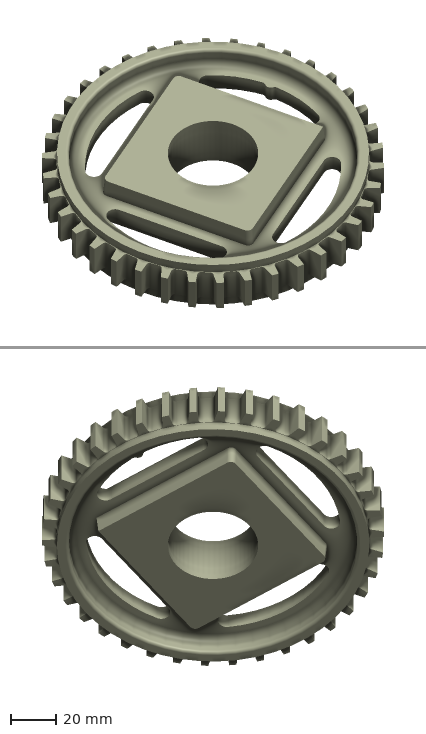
import cadquery as cq
import math

WHEEL_WIDTH = 25.0
MID_Z = WHEEL_WIDTH / 2
BORE_RADIUS = 20.0

PICK_MARGIN = 0.2

RIM_RADIUS = 69.2
RIM_MOUTH_RADIUS = 65.5
RIM_ROUNDING = 1.5
RIM_WALL_RADIUS = RIM_MOUTH_RADIUS - RIM_ROUNDING
WEB_FILLET = 3.2
WEB_THICKNESS = 7.7
RECESS_DEPTH = (WHEEL_WIDTH - WEB_THICKNESS) / 2
WEB_TOP_Z = MID_Z + WEB_THICKNESS / 2

TOOTH_COUNT = 38
TIP_RADIUS = 75.9
ROOT_RADIUS = 69.4
TOOTH_WIDTH = 16.0
TOOTH_BOTTOM_Z = MID_Z - TOOTH_WIDTH / 2
STEEP_FLANK_TIP = 2.1
STEEP_FLANK_ROOT = 2.3
SLOPED_FLANK_TIP = 1.0
SLOPED_FLANK_ROOT = 3.0
TOOTH_EMBED = 1.5
ROOT_FILLET = 1.5

HUB_FACE_WIDTH = 72.9
HUB_DRAFT_ANGLE = 4.0
HUB_CORNER_RADIUS = 2.7
HUB_BASE_WIDTH = HUB_FACE_WIDTH + 2 * RECESS_DEPTH * math.tan(math.radians(HUB_DRAFT_ANGLE))

SLOT_COUNT = 4
SLOT_INNER_DISTANCE = 42.4
SLOT_OUTER_RADIUS = 56.8
SLOT_END_RADIUS = 4.0

MARK_TIP_DISTANCE = 55.1
MARK_TIP_RADIUS = 2.5
MARK_BASE_FILLET = 2.3
MARK_APEX_Y = MARK_TIP_DISTANCE - MARK_TIP_RADIUS * (math.sqrt(2) - 1)
MARK_EMBED = 0.8


def make_toothed_ring():
    """Disc with filleted asymmetric teeth, one tooth pointing along +Y."""
    root_x = ROOT_RADIUS - TOOTH_EMBED
    tooth = (
        cq.Workplane("XY")
        .moveTo(root_x, STEEP_FLANK_ROOT)
        .lineTo(math.sqrt(TIP_RADIUS**2 - STEEP_FLANK_TIP**2), STEEP_FLANK_TIP)
        .threePointArc(
            (TIP_RADIUS, 0),
            (math.sqrt(TIP_RADIUS**2 - SLOPED_FLANK_TIP**2), -SLOPED_FLANK_TIP),
        )
        .lineTo(root_x, -SLOPED_FLANK_ROOT)
        .close()
        .extrude(TOOTH_WIDTH)
    )
    ring = cq.Workplane("XY").circle(ROOT_RADIUS).extrude(TOOTH_WIDTH)
    pitch_angle = 360 / TOOTH_COUNT
    for index in range(TOOTH_COUNT):
        ring = ring.union(tooth.rotate((0, 0, 0), (0, 0, 1), index * pitch_angle))

    def is_root_edge(edge):
        centre = edge.Center()
        return math.hypot(centre.x, centre.y) < ROOT_RADIUS + PICK_MARGIN

    ring = ring.edges("|Z").filter(is_root_edge).fillet(ROOT_FILLET)
    return ring.rotate((0, 0, 0), (0, 0, 1), 90).translate((0, 0, TOOTH_BOTTOM_Z))


def make_recess():
    """Turned recess above the web, with a rounded mouth and a filleted floor corner."""
    floor_radius = RIM_WALL_RADIUS - WEB_FILLET
    floor_arc_offset = WEB_FILLET * math.sqrt(0.5)
    mouth_arc_offset = RIM_ROUNDING * math.sqrt(0.5)
    fillet_centre_z = WEB_TOP_Z + WEB_FILLET
    return (
        cq.Workplane("XZ")
        .moveTo(0, WEB_TOP_Z)
        .lineTo(floor_radius, WEB_TOP_Z)
        .threePointArc(
            (floor_radius + floor_arc_offset, fillet_centre_z - floor_arc_offset),
            (RIM_WALL_RADIUS, fillet_centre_z),
        )
        .lineTo(RIM_WALL_RADIUS, WHEEL_WIDTH - RIM_ROUNDING)
        .threePointArc(
            (RIM_MOUTH_RADIUS - mouth_arc_offset, WHEEL_WIDTH - RIM_ROUNDING + mouth_arc_offset),
            (RIM_MOUTH_RADIUS, WHEEL_WIDTH),
        )
        .lineTo(0, WHEEL_WIDTH)
        .close()
        .revolve(360, (0, 0, 0), (0, 1, 0))
    )


def make_hub_block():
    """Drafted square block on the web; its +X +Y corner stays sharp."""
    block = (
        cq.Workplane("XY", origin=(0, 0, WEB_TOP_Z))
        .rect(HUB_BASE_WIDTH, HUB_BASE_WIDTH)
        .extrude(RECESS_DEPTH, taper=HUB_DRAFT_ANGLE)
    )

    def is_rounded_corner(edge):
        centre = edge.Center()
        is_upright = abs(centre.z - WEB_TOP_Z - RECESS_DEPTH / 2) < PICK_MARGIN
        return is_upright and min(centre.x, centre.y) < 0

    return block.edges().filter(is_rounded_corner).fillet(HUB_CORNER_RADIUS)


def make_slot():
    """Slot on the +Y side: flat inside, arc outside, round ends tangent to both."""
    end_y = SLOT_INNER_DISTANCE + SLOT_END_RADIUS
    end_distance = SLOT_OUTER_RADIUS - SLOT_END_RADIUS
    end_x = math.sqrt(end_distance**2 - end_y**2)
    tangent_scale = SLOT_OUTER_RADIUS / end_distance
    tangent_x = end_x * tangent_scale
    tangent_y = end_y * tangent_scale
    return (
        cq.Workplane("XY")
        .moveTo(-end_x, SLOT_INNER_DISTANCE)
        .lineTo(end_x, SLOT_INNER_DISTANCE)
        .threePointArc((end_x + SLOT_END_RADIUS, end_y), (tangent_x, tangent_y))
        .threePointArc((0, SLOT_OUTER_RADIUS), (-tangent_x, tangent_y))
        .threePointArc((-end_x - SLOT_END_RADIUS, end_y), (-end_x, SLOT_INNER_DISTANCE))
        .close()
        .extrude(WHEEL_WIDTH)
    )


def add_timing_mark(body):
    """Right-angled wedge as thick as the web, with a rounded tip and filleted base."""
    back_y = SLOT_OUTER_RADIUS + MARK_EMBED
    half_width = back_y - MARK_APEX_Y
    mark = (
        cq.Workplane("XY", origin=(0, 0, MID_Z - WEB_THICKNESS / 2))
        .moveTo(0, MARK_APEX_Y)
        .lineTo(half_width, back_y)
        .lineTo(-half_width, back_y)
        .close()
        .extrude(WEB_THICKNESS)
        .edges("|Z and <Y")
        .fillet(MARK_TIP_RADIUS)
    )

    def is_base_edge(edge):
        centre = edge.Center()
        on_slot_wall = abs(math.hypot(centre.x, centre.y) - SLOT_OUTER_RADIUS) < PICK_MARGIN
        return on_slot_wall and centre.y > 0 and abs(centre.x) < half_width

    return body.union(mark).edges("|Z").filter(is_base_edge).fillet(MARK_BASE_FILLET)


def add_mirrored(feature):
    """The feature together with its mirror image below the mid-plane."""
    return feature.union(feature.mirror("XY", (0, 0, MID_Z)))


wheel = cq.Workplane("XY").circle(RIM_RADIUS).extrude(WHEEL_WIDTH)
wheel = wheel.union(make_toothed_ring())
wheel = wheel.cut(add_mirrored(make_recess()))
wheel = wheel.union(add_mirrored(make_hub_block()))

slot = make_slot()
for slot_index in range(SLOT_COUNT):
    wheel = wheel.cut(slot.rotate((0, 0, 0), (0, 0, 1), slot_index * 360 / SLOT_COUNT))
wheel = add_timing_mark(wheel)

bore = cq.Workplane("XY").circle(BORE_RADIUS).extrude(WHEEL_WIDTH)
result = wheel.cut(bore)